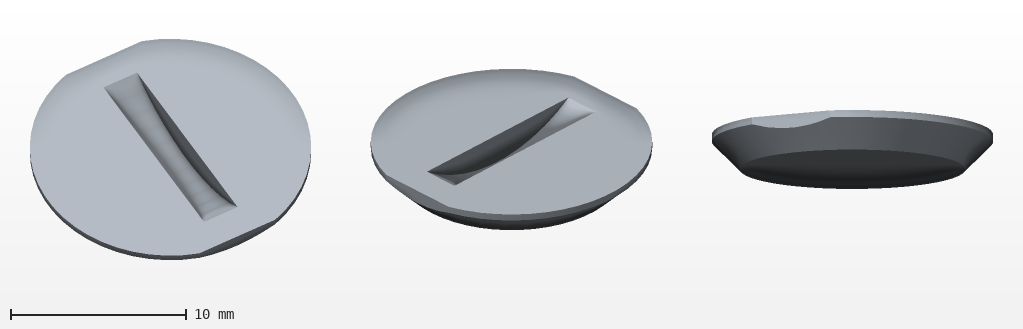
import cadquery as cq

disc_diameter = 16.0
width_across_flats = 15.2
thickness = 2.0
rim_height = 0.4
bottom_diameter = 12.83

slot_width = 2.2
slot_depth = 1.8
slot_cutter_radius = 10.0


def make_disc():
    """Disc with a straight rim at the top and a cone tapering to the underside."""
    disc_radius = disc_diameter / 2
    bottom_radius = bottom_diameter / 2
    rim_bottom = thickness - rim_height
    half_section = (
        cq.Workplane("XZ")
        .moveTo(0, 0)
        .lineTo(bottom_radius, 0)
        .lineTo(disc_radius, rim_bottom)
        .lineTo(disc_radius, thickness)
        .lineTo(0, thickness)
        .close()
    )
    return half_section.revolve(360, (0, 0, 0), (0, 1, 0))


def trim_flats(disc):
    """Cut the two parallel flats on the -X and +X sides."""
    envelope = cq.Workplane("XY").box(
        width_across_flats, disc_diameter, thickness, centered=(True, True, False)
    )
    return disc.intersect(envelope)


def make_slot_cutter():
    """Round cutter lying along Y, its lowest point at the slot depth."""
    cutter_axis_height = thickness - slot_depth + slot_cutter_radius
    return (
        cq.Workplane("XZ")
        .center(0, cutter_axis_height)
        .circle(slot_cutter_radius)
        .extrude(slot_width / 2, both=True)
    )


result = trim_flats(make_disc()).cut(make_slot_cutter())